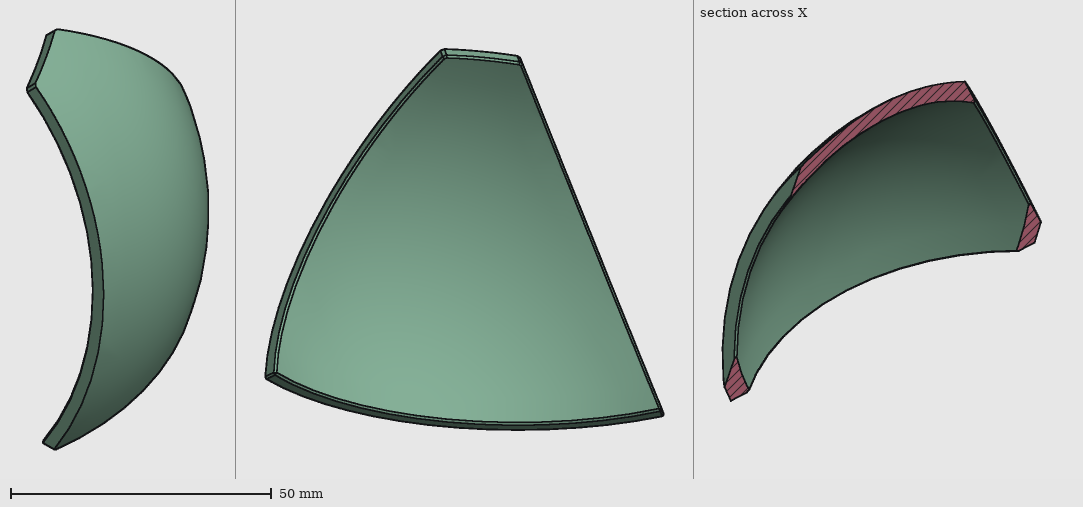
import cadquery as cq

OUTER_RADIUS = 58.6
THICKNESS = 2.9
CENTER_HEIGHT = 15.5
CENTER = cq.Vector(-OUTER_RADIUS, 0, CENTER_HEIGHT)

SIDE_NORMAL = cq.Vector(-0.36, 0.865, 0.35)
SIDE_DISTANCE = 14.3
TOP_NORMAL = cq.Vector(-0.74, 0, 0.67)
TOP_DISTANCE = 13.3

EDGE_CHAMFER = 0.5
TRIM_SIZE = 4 * OUTER_RADIUS


def shell():
    """Hollow ball centred on the panel's centre of curvature."""
    outer = cq.Workplane("XY").sphere(OUTER_RADIUS)
    inner = cq.Workplane("XY").sphere(OUTER_RADIUS - THICKNESS)
    ball = outer.cut(inner).rotate((0, 0, 0), (0, 0, 1), 180)
    return ball.translate(CENTER)


def half_space(normal, distance):
    """Large block filling everything beyond a plane facing along normal."""
    direction = normal.normalized()
    plane = cq.Plane(origin=CENTER + direction * distance, normal=direction)
    return cq.Workplane(plane).rect(TRIM_SIZE, TRIM_SIZE).extrude(TRIM_SIZE)


def trimmed_panel():
    """Shell trimmed by the base, the slanted top and two mirrored sides."""
    opposite_side = cq.Vector(SIDE_NORMAL.x, -SIDE_NORMAL.y, SIDE_NORMAL.z)
    panel = shell()
    panel = panel.cut(half_space(cq.Vector(0, 0, -1), CENTER_HEIGHT))
    panel = panel.cut(half_space(TOP_NORMAL, TOP_DISTANCE))
    for normal in (SIDE_NORMAL, opposite_side):
        panel = panel.cut(half_space(normal, SIDE_DISTANCE))
    return panel.solids(">X")


def chamfer_edges(panel):
    """Bevel the inner rim and the four short corner edges, leaving the outer rim sharp."""
    outer_rim = panel.faces("%SPHERE").faces(">X").edges().vals()
    bevelled = panel.edges().filter(
        lambda edge: not any(edge.isSame(rim) for rim in outer_rim)
    )
    return bevelled.chamfer(EDGE_CHAMFER)


result = chamfer_edges(trimmed_panel())